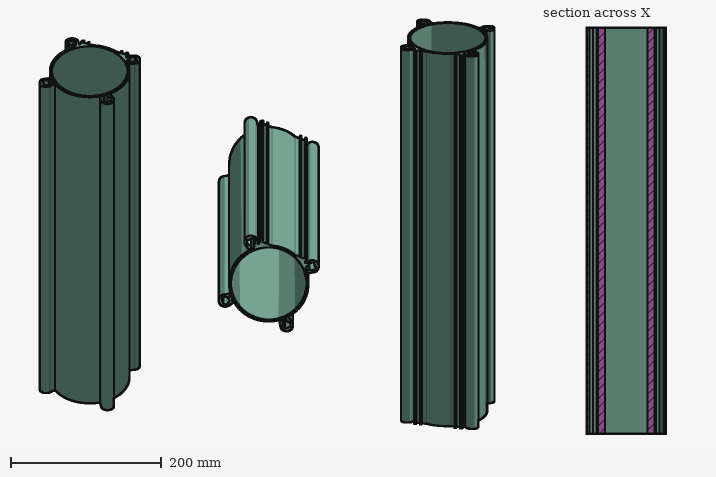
import cadquery as cq
import math

LENGTH = 538.0
WIDTH = 105.5
BORE_RADIUS = 100.0 / 2
TUBE_RADIUS = WIDTH / 2

RING_RADIUS = 8.5
RING_OFFSET = TUBE_RADIUS - RING_RADIUS
RING_DISTANCE = math.hypot(RING_OFFSET, RING_OFFSET)
NECK_TAPER = math.radians(13)
CHANNEL_RADIUS = 5.5
CHANNEL_FLAT = 4.0
LIP_GAP = 4.5
GAP_WIDTH = 9.0

FIN_TOP = 54.0
PAD_TOP = 50.0
PAD_BOTTOM = 37.5
PAD_INNER_X = 16.0
PAD_OUTER_X = 33.5
WEB_TOP = 45.0
WEB_OUTER_X = 37.5
OUTER_FIN_WIDTH = 3.0
OUTER_FIN_CHAMFER = 1.5
INNER_FIN_X = 23.5
INNER_FIN_WIDTH = 1.5


def cylinder(radius, x=0.0):
    return cq.Workplane("XY").center(x, 0).circle(radius).extrude(LENGTH)


def block(x_min, x_max, y_min, y_max):
    return prism([(x_min, y_min), (x_max, y_min), (x_max, y_max), (x_min, y_max)])


def prism(points):
    return cq.Workplane("XY").polyline(points).close().extrude(LENGTH)


def taper(x_tube, half_width_tube, x_ring, half_width_ring):
    """Trapezoid prism, symmetric about the X axis."""
    return prism(
        [
            (x_tube, half_width_tube),
            (x_ring, half_width_ring),
            (x_ring, -half_width_ring),
            (x_tube, -half_width_tube),
        ]
    )


def screw_channel():
    """Open ring on the -X side; its neck flanks run tangent from the ring to the tube."""
    neck_x = -RING_DISTANCE + RING_RADIUS * math.sin(NECK_TAPER)
    neck_half = RING_RADIUS * math.cos(NECK_TAPER)
    root_half = neck_half - (-BORE_RADIUS - neck_x) * math.tan(NECK_TAPER)
    neck = taper(-BORE_RADIUS, root_half, neck_x, neck_half)

    flat_x = -RING_DISTANCE - CHANNEL_FLAT
    channel = cylinder(CHANNEL_RADIUS, -RING_DISTANCE).cut(
        block(flat_x - CHANNEL_RADIUS, flat_x, -CHANNEL_RADIUS, CHANNEL_RADIUS)
    )
    lip_x = -RING_DISTANCE + math.sqrt(CHANNEL_RADIUS**2 - (LIP_GAP / 2) ** 2)
    gap = taper(-BORE_RADIUS, GAP_WIDTH / 2, lip_x, LIP_GAP / 2)
    return cylinder(RING_RADIUS, -RING_DISTANCE).union(neck).cut(channel).cut(gap)


def rail():
    """Pad with a chamfered outer fin and a plain inner fin, on the +X side of the +Y face."""
    pad = block(PAD_INNER_X, PAD_OUTER_X, PAD_BOTTOM, PAD_TOP)
    web = block(PAD_OUTER_X, WEB_OUTER_X, PAD_BOTTOM, WEB_TOP)

    outer_fin = (
        block(PAD_OUTER_X - OUTER_FIN_WIDTH, PAD_OUTER_X, PAD_TOP, FIN_TOP)
        .edges("|Z and >X and >Y")
        .chamfer(OUTER_FIN_CHAMFER)
    )

    inner_fin = block(
        INNER_FIN_X - INNER_FIN_WIDTH / 2, INNER_FIN_X + INNER_FIN_WIDTH / 2, PAD_BOTTOM, FIN_TOP
    )
    return pad.union(web).union(outer_fin).union(inner_fin)


right_rail = rail()
body = right_rail.union(right_rail.mirror("YZ"))
for angle in (45, 135, 225, 315):
    body = body.union(screw_channel().rotate((0, 0, 0), (0, 0, 1), angle))
result = body.union(cylinder(TUBE_RADIUS)).cut(cylinder(BORE_RADIUS))